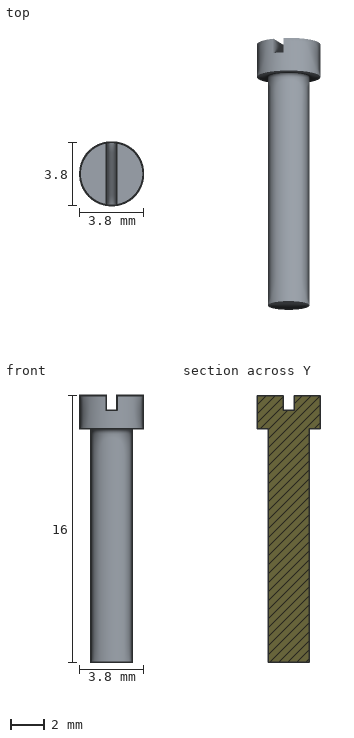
import cadquery as cq

total_length = 16.0
head_diameter = 3.8
head_height = 2.0
shank_diameter = 2.5
slot_width = 0.64
slot_depth = 0.88

shank_length = total_length - head_height
bottom_z = -total_length / 2
top_z = total_length / 2

shank = cq.Workplane("XY", origin=(0, 0, bottom_z)).circle(shank_diameter / 2).extrude(shank_length)
screw = shank.faces(">Z").workplane().circle(head_diameter / 2).extrude(head_height)

slot = (
    cq.Workplane("XY", origin=(0, 0, top_z))
    .rect(slot_width, head_diameter)
    .extrude(-slot_depth)
)

result = screw.cut(slot)